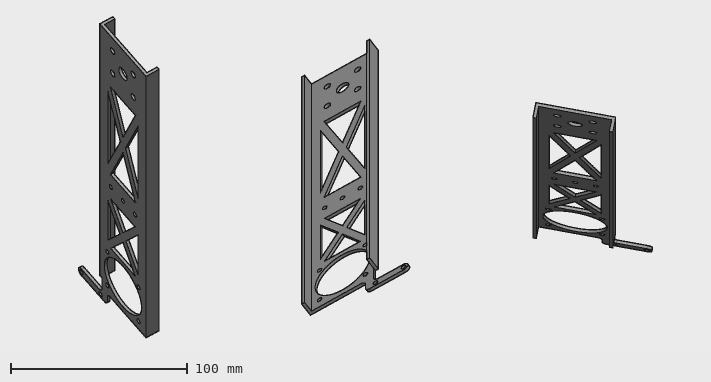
import cadquery as cq

height = 250.0
channel_width = 46.0
channel_depth = 9.0
thickness = 2.0
left_edge = -channel_width / 2
right_edge = channel_width / 2

plate_bottom = 10.2
fan_z = plate_bottom + channel_width / 2
fan_diameter = 37.0
fan_hole_spacing = 31.0
small_hole_diameter = 3.0
left_wall_bottom = 19.2

motor_z = height - 22.0
motor_hole_diameter = 8.2
motor_screw_spacing = 20.5
motor_screw_diameter = 4.2

window_width = 30.0
brace_width = 5.0
upper_window_height = 80.0
upper_window_z = height - 87.0
lower_window_height = 45.0
lower_window_z = height - 172.0
upper_window_bottom = upper_window_z - upper_window_height / 2
lower_window_top = lower_window_z + lower_window_height / 2
row_z = (upper_window_bottom + lower_window_top) / 2
row_spacing = 12.0

arm_reach = 21.2
arm_height = 6.0
arm_hole_spacing = 19.0
arm_left = left_edge - arm_reach
arm_end_radius = arm_height / 2
stem_left = left_edge + thickness
stem_width = 5.5
stem_right = stem_left + stem_width
elbow_radius = 3.0
stem_root_radius = 3.0


def box(x_min, x_max, y_max, z_min, z_max):
    """Box from the front face (Y = 0) back to y_max."""
    size = (x_max - x_min, y_max, z_max - z_min)
    return cq.Workplane("XY").box(*size, centered=False).translate((x_min, 0, z_min))


def holes(diameter, points):
    """Round cutters through the plate at (x, z) points."""
    return cq.Workplane("XZ").pushPoints(points).circle(diameter / 2).extrude(-thickness)


def square_points(spacing, z):
    """Four (x, z) corners of a square centred on the channel."""
    half = spacing / 2
    return [(x, z + dz) for x in (-half, half) for dz in (-half, half)]


def braced_window(window_height, z):
    """Window cutter that leaves two straight braces along its diagonals."""
    half_width = window_width / 2
    half_height = window_height / 2
    diagonal = (half_width**2 + half_height**2) ** 0.5
    brace_x = brace_width / 2 * diagonal / half_height
    brace_z = brace_width / 2 * diagonal / half_width
    cutter = cq.Workplane("XZ", origin=(0, 0, z))
    for side in (-1, 1):
        cutter = cutter.polyline([
            (half_width - brace_x, side * half_height),
            (0, side * brace_z),
            (brace_x - half_width, side * half_height),
        ]).close()
        cutter = cutter.polyline([
            (side * half_width, half_height - brace_z),
            (side * brace_x, 0),
            (side * half_width, brace_z - half_height),
        ]).close()
    return cutter.extrude(-thickness)


def edge_at(x, z):
    """Selector for the Y-direction plate edge at (x, z)."""
    reach = 0.12
    return cq.selectors.BoxSelector(
        (x - reach, -reach, z - reach), (x + reach, thickness + reach, z + reach)
    )


plate = box(stem_left, right_edge, thickness, plate_bottom, height)
stem = box(stem_left, stem_right, thickness, 0, plate_bottom)
arm = box(arm_left, stem_right, thickness, 0, arm_height)
body = plate.union(stem).union(arm).clean()
body = body.edges(edge_at(stem_left, arm_height)).fillet(elbow_radius)
body = body.edges(edge_at(stem_right, 0)).fillet(elbow_radius)
body = body.edges(edge_at(stem_right, plate_bottom)).fillet(stem_root_radius)

end_x = arm_left + arm_end_radius
body = body.cut(box(arm_left, end_x, thickness, 0, arm_height))
body = body.union(holes(arm_height, [(end_x, arm_end_radius)]))

body = body.union(box(left_edge, stem_left, channel_depth, left_wall_bottom, height))
body = body.union(box(right_edge - thickness, right_edge, channel_depth, plate_bottom, height))

body = body.cut(braced_window(upper_window_height, upper_window_z))
body = body.cut(braced_window(lower_window_height, lower_window_z))
body = body.cut(holes(motor_hole_diameter, [(0, motor_z)]))
body = body.cut(holes(motor_screw_diameter, square_points(motor_screw_spacing, motor_z)))
body = body.cut(holes(fan_diameter, [(0, fan_z)]))
body = body.cut(holes(small_hole_diameter, square_points(fan_hole_spacing, fan_z)))
body = body.cut(holes(small_hole_diameter, [(i * row_spacing, row_z) for i in (-1, 0, 1)]))
arm_holes = [(end_x + i * arm_hole_spacing, arm_end_radius) for i in (0, 1)]
body = body.cut(holes(small_hole_diameter, arm_holes))

result = body